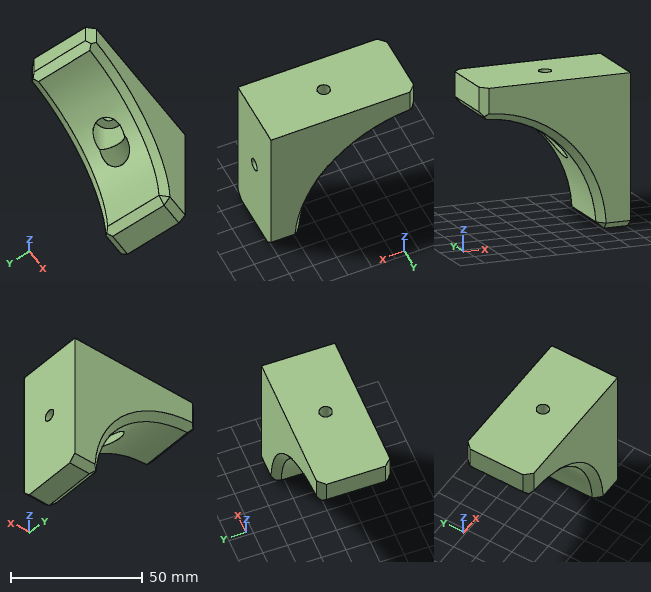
import cadquery as cq
import math

leg_length = 61.31
width = 30.0
arc_radius = 48.31
side_chamfer = 3.0
tip_chamfer_length = 2.9
tip_face_height = 9.8
screw_diameter = 5.0
head_diameter = 12.0
screw_offset = 29.1
head_seat_depth = 10.0

half_width = width / 2
inner_half_width = half_width - side_chamfer
chamfer_start = leg_length - tip_chamfer_length


def arc_depth(radius):
    """Depth below the outer face of a quarter round where the tip chamfer begins."""
    return leg_length - math.sqrt(radius**2 - tip_chamfer_length**2)


def make_side_profile():
    """Square corner with a concave quarter round and bevelled leg tips, across the width."""
    arc_middle = arc_radius * math.sqrt(0.5) - leg_length
    tip_depth = arc_depth(arc_radius)
    return (
        cq.Workplane("XZ")
        .moveTo(0, 0)
        .lineTo(-leg_length, 0)
        .lineTo(-leg_length, -tip_face_height)
        .lineTo(-chamfer_start, -tip_depth)
        .threePointArc((arc_middle, arc_middle), (-tip_depth, -chamfer_start))
        .lineTo(-tip_face_height, -leg_length)
        .lineTo(0, -leg_length)
        .close()
        .extrude(half_width, both=True)
    )


def make_leg_outline(outer_plane):
    """Rectangle with both tip corners chamfered, extruded inward from an outer face."""
    return (
        cq.Workplane(outer_plane)
        .polyline([
            (0, -half_width),
            (0, half_width),
            (-chamfer_start, half_width),
            (-leg_length, inner_half_width),
            (-leg_length, -inner_half_width),
            (-chamfer_start, -half_width),
        ])
        .close()
        .extrude(-leg_length)
    )


def make_arc_chamfer(side):
    """Cone that chamfers the quarter round on one side (+1 or -1 along Y)."""
    cone = cq.Solid.makeCone(
        arc_radius,
        arc_radius + side_chamfer,
        side_chamfer,
        pnt=cq.Vector(-leg_length, side * inner_half_width, -leg_length),
        dir=cq.Vector(0, side, 0),
    )
    return cq.Workplane(cone)


def make_corner_flat():
    """Wedge that leaves a triangular flat at the lower inner corner on the -Y side."""
    arc_point = cq.Vector(-arc_depth(arc_radius), -inner_half_width, -chamfer_start)
    side_point = cq.Vector(-arc_depth(arc_radius + side_chamfer), -half_width, -chamfer_start)
    tip_point = cq.Vector(-tip_face_height, -inner_half_width, -leg_length)
    triangle = cq.Wire.makePolygon([arc_point, side_point, tip_point], close=True)
    outward = (tip_point - arc_point).cross(side_point - arc_point).normalized()
    wedge = cq.Solid.extrudeLinear(triangle, [], outward * side_chamfer)
    return cq.Workplane(wedge)


def make_screw_hole(outer_plane, axis_point):
    """Screw hole from an outer face inward, widened for the head past its seat."""
    plane = cq.Workplane(outer_plane, origin=axis_point)
    shank = plane.circle(screw_diameter / 2).extrude(-leg_length)
    head = (
        plane.workplane(offset=-head_seat_depth)
        .circle(head_diameter / 2)
        .extrude(head_seat_depth - leg_length)
    )
    return shank.union(head)


top_face = cq.Plane(origin=(0, 0, 0), xDir=(1, 0, 0), normal=(0, 0, 1))
back_face = cq.Plane(origin=(0, 0, 0), xDir=(0, 0, 1), normal=(1, 0, 0))

result = make_side_profile()
for outer_face in (top_face, back_face):
    result = result.intersect(make_leg_outline(outer_face))
for side in (1, -1):
    result = result.cut(make_arc_chamfer(side))
result = result.cut(make_corner_flat())
result = result.cut(make_screw_hole("XY", (-screw_offset, 0, 0)))
result = result.cut(make_screw_hole("YZ", (0, 0, -screw_offset)))